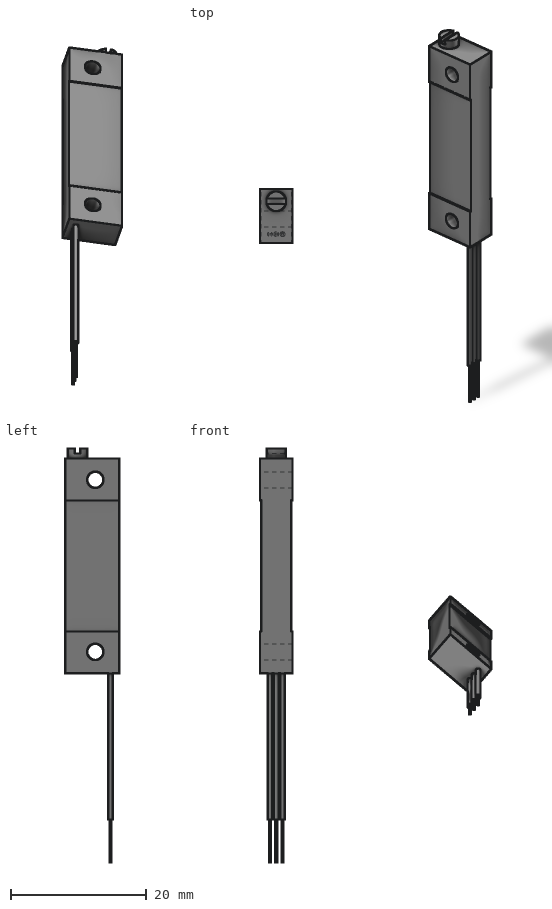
import cadquery as cq

BODY_WIDTH = 4.83
BODY_DEPTH = 8.0
BODY_HEIGHT = 31.75

RELIEF_DEPTH = 0.18
RELIEF_END_DISTANCE = 6.2

HOLE_DIAMETER = 2.36
HOLE_END_DISTANCE = 3.175
HOLE_Y = -0.45
HOLE_HEIGHTS = (HOLE_END_DISTANCE, BODY_HEIGHT - HOLE_END_DISTANCE)

SCREW_DIAMETER = 2.91
SCREW_HEIGHT = 1.47
SCREW_EDGE_DISTANCE = 1.83
SCREW_Y = BODY_DEPTH / 2 - SCREW_EDGE_DISTANCE
SLOT_WIDTH = 0.76
SLOT_DEPTH = 0.76

LEAD_PITCH = 0.93
LEAD_POSITIONS = (-LEAD_PITCH, 0, LEAD_PITCH)
LEAD_EDGE_DISTANCE = 1.32
LEAD_Y = LEAD_EDGE_DISTANCE - BODY_DEPTH / 2
LEAD_LENGTH = 27.94
INSULATION_DIAMETER = 0.71
INSULATION_LENGTH = 21.59
WIRE_DIAMETER = 0.3


def make_body():
    """Block with a shallow relief on each broad face."""
    body = cq.Workplane("XY").box(BODY_WIDTH, BODY_DEPTH, BODY_HEIGHT, centered=(True, True, False))
    relief_height = BODY_HEIGHT - 2 * RELIEF_END_DISTANCE
    for side in (-1, 1):
        relief = cq.Workplane("XY").box(2 * RELIEF_DEPTH, BODY_DEPTH, relief_height)
        body = body.cut(relief.translate((side * BODY_WIDTH / 2, 0, BODY_HEIGHT / 2)))
    return body


def make_mounting_holes():
    """Cutters for the two holes running along X."""
    centres = [(HOLE_Y, z) for z in HOLE_HEIGHTS]
    return cq.Workplane("YZ").pushPoints(centres).circle(HOLE_DIAMETER / 2).extrude(BODY_WIDTH / 2, both=True)


def make_screw():
    """Cylindrical screw head with a driver slot along X."""
    head = cq.Workplane("XY").circle(SCREW_DIAMETER / 2).extrude(SCREW_HEIGHT)
    slot = cq.Workplane("XY").box(SCREW_DIAMETER, SLOT_WIDTH, 2 * SLOT_DEPTH)
    head = head.cut(slot.translate((0, 0, SCREW_HEIGHT)))
    return head.translate((0, SCREW_Y, BODY_HEIGHT))


def make_lead(x):
    """Wire core with a sleeve of insulation over its upper part."""
    lead = cq.Workplane("XY").circle(WIRE_DIAMETER / 2).extrude(-LEAD_LENGTH)
    sleeve = cq.Workplane("XY").circle(INSULATION_DIAMETER / 2).extrude(-INSULATION_LENGTH)
    return lead.union(sleeve).translate((x, LEAD_Y, 0))


result = make_body().cut(make_mounting_holes()).union(make_screw())
for lead_x in LEAD_POSITIONS:
    result = result.union(make_lead(lead_x))